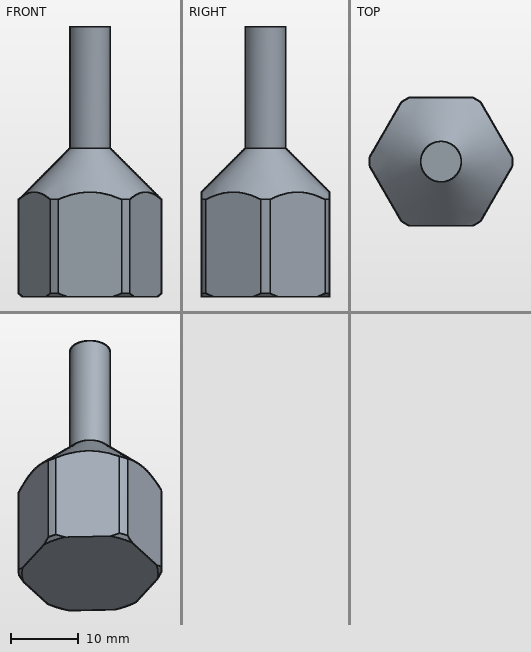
import cadquery as cq
import math

total_height = 40.0
pin_diameter = 6.0
pin_length = 18.0
across_flats = 19.0
corner_diameter = 21.2
bottom_chamfer = 0.5

pin_radius = pin_diameter / 2
corner_radius = corner_diameter / 2
shoulder_top = total_height - pin_length
shoulder_bottom = shoulder_top - (corner_radius - pin_radius)


def turned_body():
    """Pin, conical shoulder and chamfered cylinder, revolved about Z."""
    profile = [
        (0, 0),
        (corner_radius - bottom_chamfer, 0),
        (corner_radius, bottom_chamfer),
        (corner_radius, shoulder_bottom),
        (pin_radius, shoulder_top),
        (pin_radius, total_height),
        (0, total_height),
    ]
    return cq.Workplane("XZ").polyline(profile).close().revolve(360, (0, 0), (0, 1))


def hexagonal_prism():
    """Prism with flats facing +Y and -Y and corners on the X axis."""
    across_corners = across_flats / math.cos(math.radians(30))
    return cq.Workplane("XY").polygon(6, across_corners).extrude(total_height)


result = turned_body().intersect(hexagonal_prism())